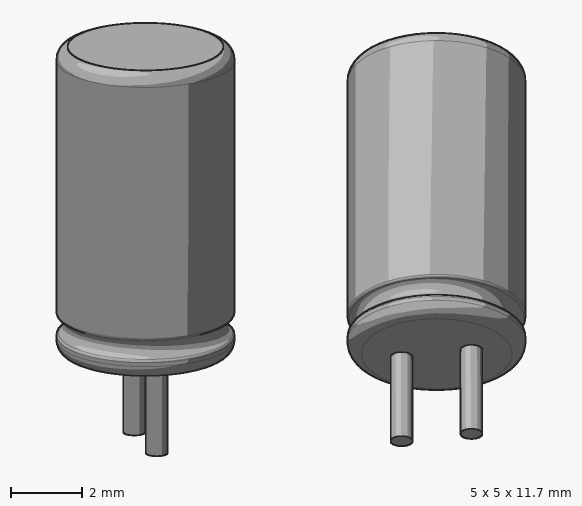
import cadquery as cq
import math

total_height = 11.66
can_diameter = 5.0
can_radius = can_diameter / 2
can_bottom = 2.66

top_round = 0.4
bottom_round = 0.38

end_disc_inset = 0.31
end_disc_radius = can_radius - end_disc_inset

groove_height = 3.51
groove_depth = 0.25
groove_half_width = 0.35
lip_radius = 0.08

lead_diameter = 0.62
lead_spacing = 2.0
lead_embed = 0.12


def lip_points(side):
    """Wall, middle and groove ends of a lip; side is -1 below the groove and +1 above it."""
    centre_distance = (groove_depth**2 + groove_half_width**2) / (2 * groove_depth)
    lip_angle = math.asin(groove_half_width / centre_distance)
    centre_radius = can_radius - lip_radius
    centre_height = groove_height + side * groove_half_width

    def on_lip(angle):
        return (
            centre_radius + lip_radius * math.cos(angle),
            centre_height - side * lip_radius * math.sin(angle),
        )

    return on_lip(0), on_lip(lip_angle / 2), on_lip(lip_angle)


def make_can():
    """Revolve the half section of the can about the Z axis."""
    lower_wall, lower_middle, lower_groove = lip_points(-1)
    upper_wall, upper_middle, upper_groove = lip_points(1)
    waist = (can_radius - groove_depth, groove_height)

    bottom_edge = (can_radius - bottom_round, can_bottom)
    bottom_middle = (
        can_radius - bottom_round * (1 - math.sqrt(0.5)),
        can_bottom + bottom_round * (1 - math.sqrt(0.5)),
    )
    bottom_wall = (can_radius, can_bottom + bottom_round)

    top_middle = (
        can_radius - top_round * (1 - math.sqrt(0.5)),
        total_height - top_round * (1 - math.sqrt(0.5)),
    )
    top_wall = (can_radius, total_height - top_round)
    top_edge = (can_radius - top_round, total_height)

    section = (
        cq.Workplane("XZ")
        .moveTo(0, can_bottom)
        .lineTo(*bottom_edge)
        .threePointArc(bottom_middle, bottom_wall)
        .lineTo(*lower_wall)
        .threePointArc(lower_middle, lower_groove)
        .threePointArc(waist, upper_groove)
        .threePointArc(upper_middle, upper_wall)
        .lineTo(*top_wall)
        .threePointArc(top_middle, top_edge)
        .lineTo(0, total_height)
        .close()
    )
    return section.revolve(360, (0, 0, 0), (0, 1, 0))


def make_end_disc():
    """Disc flush with the top, reaching down to meet the top round at its rim."""
    thickness = top_round - math.sqrt(top_round**2 - (top_round - end_disc_inset) ** 2)
    return (
        cq.Workplane("XY")
        .workplane(offset=total_height - thickness)
        .circle(end_disc_radius)
        .extrude(thickness)
    )


def make_leads():
    """Two round leads side by side along X, reaching slightly into the can."""
    return (
        cq.Workplane("XY")
        .pushPoints([(-lead_spacing / 2, 0), (lead_spacing / 2, 0)])
        .circle(lead_diameter / 2)
        .extrude(can_bottom + lead_embed)
    )


result = make_can().union(make_end_disc()).union(make_leads()).clean()